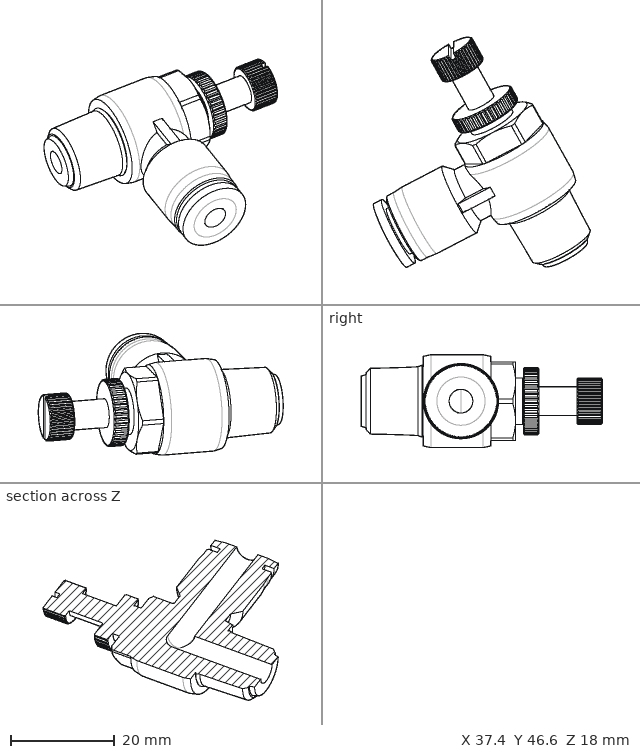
import cadquery as cq
import math


NOZZLE_END = 1.0
THREAD_START = 1.8
THREAD_END = 11.0
LIP_END = 11.75
BODY_START = 11.98
BODY_END = 25.05
HEX_END = 29.82
COLLAR_END = 31.3
NUT_END = 34.35
KNOB_START = 41.65
KNOB_END = 46.6

NOZZLE_TIP_RADIUS = 4.85
NOZZLE_RADIUS = 5.15
THREAD_CHAMFER_RADIUS = 5.5
THREAD_START_RADIUS = 6.4
THREAD_END_RADIUS = 6.65
LIP_RADIUS = 6.95
BODY_RADIUS = 9.0
BODY_CHAMFER_LENGTH = 1.5
BODY_CHAMFER_DEPTH = 0.33
COLLAR_RADIUS = 4.5
COLLAR_CHAMFER = 0.2
STEM_RADIUS = 2.8

HEX_ACROSS_FLATS = 15.2
HEX_CORNER_RADIUS = 8.55
HEX_CHAMFER_ANGLE = 30.0

NUT_RADIUS = 6.52
KNOB_RADIUS = 4.5
KNURL_CHAMFER = 0.3
KNURL_COUNT = 40
NUT_GROOVE_DEPTH = 0.3
KNOB_GROOVE_DEPTH = 0.25
SLOT_WIDTH = 1.05
SLOT_DEPTH = 1.03

BRANCH_Y = 19.3
CONE_START = 11.05
CONE_END = 12.85
TAPER_START = 21.58
TAPER_END = 23.55
SLEEVE_CHAMFER = 0.3
SLEEVE_END = 25.25
FLANGE_START = 26.3
FLANGE_RIM_END = 28.05
FLANGE_END = 28.4

NECK_RADIUS = 5.55
SLEEVE_RADIUS = 7.25
SLEEVE_MOUTH_RADIUS = 7.1
RELEASE_TUBE_RADIUS = 4.95
FLANGE_RADIUS = 6.95
FLANGE_FACE_RADIUS = 4.65
RIB_WIDTH = 2.0
RIB_HALF_SPAN = 7.05

BORE_RADIUS = 2.3


def revolve_about_y(profile):
    """Revolve (radius, y) points, closed along the axis, about the Y axis."""
    points = [(0, profile[0][1])] + profile + [(0, profile[-1][1])]
    return cq.Workplane("XY").polyline(points).close().revolve(360, (0, 0), (0, 1))


def revolve_about_branch(profile):
    """Revolve (x, radius) points, closed along the axis, about the branch axis."""
    points = [(profile[0][0], 0)] + profile + [(profile[-1][0], 0)]
    sketch = cq.Workplane("XY", origin=(0, BRANCH_Y, 0)).polyline(points).close()
    return sketch.revolve(360, (0, 0), (1, 0))


def along_y(start):
    """Workplane at Y = start that extrudes toward +Y, with local x along -X and local y along Z."""
    return cq.Workplane(cq.Plane(origin=(0, start, 0), xDir=(-1, 0, 0), normal=(0, 1, 0)))


def make_inlet():
    return revolve_about_y([
        (NOZZLE_TIP_RADIUS, 0),
        (NOZZLE_RADIUS, NOZZLE_END),
        (THREAD_CHAMFER_RADIUS, NOZZLE_END),
        (THREAD_START_RADIUS, THREAD_START),
        (THREAD_END_RADIUS, THREAD_END),
        (LIP_RADIUS, LIP_END),
        (THREAD_END_RADIUS, BODY_START),
    ])


def make_body():
    body = along_y(BODY_START).circle(BODY_RADIUS).extrude(BODY_END - BODY_START)
    return body.edges().chamfer(BODY_CHAMFER_LENGTH, BODY_CHAMFER_DEPTH)


def make_hexagon():
    flat_radius = HEX_ACROSS_FLATS / 2
    corner_diameter = HEX_ACROSS_FLATS / math.cos(math.pi / 6)
    chamfer_drop = (HEX_CORNER_RADIUS - flat_radius) * math.tan(math.radians(HEX_CHAMFER_ANGLE))
    blank = revolve_about_y([
        (HEX_CORNER_RADIUS, BODY_END),
        (HEX_CORNER_RADIUS, HEX_END - chamfer_drop),
        (flat_radius, HEX_END),
    ])
    prism = along_y(BODY_END).polygon(6, corner_diameter).extrude(HEX_END - BODY_END)
    return prism.intersect(blank)


def make_collar_and_stem():
    return revolve_about_y([
        (COLLAR_RADIUS, HEX_END),
        (COLLAR_RADIUS, COLLAR_END - COLLAR_CHAMFER),
        (COLLAR_RADIUS - COLLAR_CHAMFER, COLLAR_END),
        (STEM_RADIUS, COLLAR_END),
        (STEM_RADIUS, KNOB_START),
    ])


def make_knurled_disc(radius, start, end, groove_depth):
    """Chamfered disc with evenly spaced right-angled V grooves around its rim."""
    length = end - start
    pitch_angle = 2 * math.pi / KNURL_COUNT
    half_groove_angle = groove_depth / radius
    points = []
    for index in range(KNURL_COUNT):
        root_angle = (index + 0.5) * pitch_angle
        for angle, distance in (
            (root_angle - half_groove_angle, radius),
            (root_angle, radius - groove_depth),
            (root_angle + half_groove_angle, radius),
        ):
            points.append((distance * math.cos(angle), distance * math.sin(angle)))
    toothed = along_y(start).polyline(points).close().extrude(length)
    blank = along_y(start).circle(radius).extrude(length).edges().chamfer(KNURL_CHAMFER)
    return toothed.intersect(blank)


def make_branch():
    return revolve_about_branch([
        (0, NECK_RADIUS),
        (CONE_START, NECK_RADIUS),
        (CONE_END, SLEEVE_RADIUS),
        (TAPER_START, SLEEVE_RADIUS),
        (TAPER_END, SLEEVE_MOUTH_RADIUS),
        (SLEEVE_END - SLEEVE_CHAMFER, SLEEVE_MOUTH_RADIUS),
        (SLEEVE_END, SLEEVE_MOUTH_RADIUS - SLEEVE_CHAMFER),
        (SLEEVE_END, RELEASE_TUBE_RADIUS),
        (FLANGE_START, RELEASE_TUBE_RADIUS),
        (FLANGE_START, FLANGE_RADIUS),
        (FLANGE_RIM_END, FLANGE_RADIUS),
        (FLANGE_END, FLANGE_FACE_RADIUS),
    ])


def make_ribs():
    """One plate across the neck forms the ribs on both its +Z and -Z sides."""
    plate = cq.Workplane("XY", origin=(0, BRANCH_Y, 0))
    return plate.box(CONE_END, RIB_WIDTH, 2 * RIB_HALF_SPAN, centered=(False, True, True))


def make_passage():
    """Elbow bore from the inlet face to the branch mouth, with a spherical outer corner."""
    inlet_bore = along_y(0).circle(BORE_RADIUS).extrude(BRANCH_Y)
    branch_bore = revolve_about_branch([(0, BORE_RADIUS), (FLANGE_END, BORE_RADIUS)])
    corner = cq.Workplane("XY", origin=(0, BRANCH_Y, 0)).sphere(BORE_RADIUS)
    return inlet_bore.union(branch_bore).union(corner)


def make_slot():
    """Screwdriver slot running along Z across the knob end."""
    return along_y(KNOB_END - SLOT_DEPTH).rect(SLOT_WIDTH, 2 * KNOB_RADIUS).extrude(SLOT_DEPTH)


nut = make_knurled_disc(NUT_RADIUS, COLLAR_END, NUT_END, NUT_GROOVE_DEPTH)
knob = make_knurled_disc(KNOB_RADIUS, KNOB_START, KNOB_END, KNOB_GROOVE_DEPTH).cut(make_slot())

pieces = [
    make_body(),
    make_hexagon(),
    make_collar_and_stem(),
    nut,
    knob,
    make_branch(),
    make_ribs(),
]
result = make_inlet()
for piece in pieces:
    result = result.union(piece)
result = result.cut(make_passage())